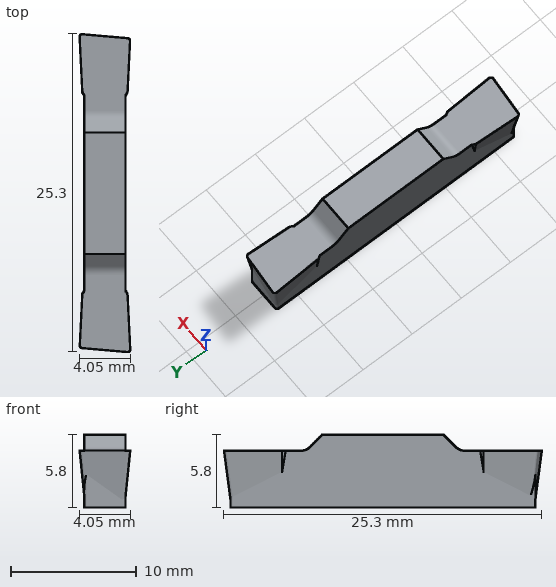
import cadquery as cq
import math

body_width = 3.3
body_length = 24.25
body_height = 5.8
land_height = 4.53
ridge_length = 9.65
ramp_radius = 1.0
corner_radius = 0.23

overall_length = 25.3
tip_width = 4.05
lead_angle = 5.0
side_angle = 2.8
end_clearance_angle = 7.0
side_clearance_angle = 5.5
shoulder_distance = 8.02
back_run = 0.6
shoulder_angle = 30.0


def make_body():
    """Bar with a raised ridge, 45 degree ramps and rounded end corners."""
    half_length = body_length / 2
    half_ridge = ridge_length / 2
    ramp_foot = half_ridge + body_height - land_height
    profile = [
        (-half_length, 0),
        (half_length, 0),
        (half_length, land_height),
        (ramp_foot, land_height),
        (half_ridge, body_height),
        (-half_ridge, body_height),
        (-ramp_foot, land_height),
        (-half_length, land_height),
    ]
    body = cq.Workplane("YZ").polyline(profile).close().extrude(body_width / 2, both=True)
    body = body.edges("|Z").fillet(corner_radius)
    for side in (-1, 1):
        foot_edge = cq.selectors.NearestToPointSelector((0, side * ramp_foot, land_height))
        body = body.edges(foot_edge).fillet(ramp_radius)
    return body


def tip_outline(depth):
    """Corners of the tip's cross-section at a depth below the land."""
    lead = math.radians(lead_angle)
    side = math.radians(side_angle)
    lead_setback = depth * math.tan(math.radians(end_clearance_angle))
    side_setback = depth * math.tan(math.radians(side_clearance_angle))

    center_x = tip_width / 2 - corner_radius
    center_y = -overall_length / 2 + corner_radius
    end_y_at_axis = center_y + center_x * math.tan(lead)
    end_y_at_axis -= (corner_radius - lead_setback) / math.cos(lead)
    side_x_at_axis = center_x + center_y * math.tan(side)
    side_x_at_axis += (corner_radius - side_setback) / math.cos(side)

    def end_corner(sign):
        spread = 1 - sign * math.tan(side) * math.tan(lead)
        x = sign * (side_x_at_axis - end_y_at_axis * math.tan(side)) / spread
        return x, end_y_at_axis - x * math.tan(lead)

    shoulder_y = -shoulder_distance
    shoulder_x = side_x_at_axis - shoulder_y * math.tan(side)
    back_x = shoulder_x - back_run * math.tan(math.radians(shoulder_angle))
    back_y = shoulder_y + back_run
    return [
        end_corner(-1),
        end_corner(1),
        (shoulder_x, shoulder_y),
        (back_x, back_y),
        (-back_x, back_y),
        (-shoulder_x, shoulder_y),
    ]


def make_tip():
    """Tip at the -Y end, with relieved end and side faces and rounded corners."""
    tip = (
        cq.Workplane("XY")
        .polyline(tip_outline(land_height))
        .close()
        .workplane(offset=land_height)
        .polyline(tip_outline(0))
        .close()
        .loft(ruled=True)
    )
    corner_limit = -shoulder_distance - corner_radius
    corners = tip.edges("not(#Z)").filter(lambda edge: edge.Center().y < corner_limit)
    return corners.fillet(corner_radius)


tip = make_tip()
opposite_tip = tip.rotate((0, 0, 0), (0, 0, 1), 180)
result = make_body().union(tip).union(opposite_tip)